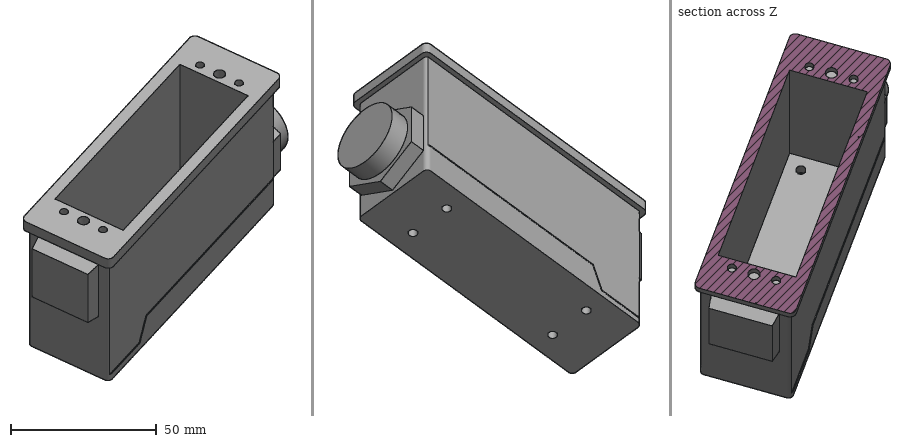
import cadquery as cq
import math

height = 61.0
lid_width = 36.5
lid_length = 107.7
lid_thickness = 4.5
lid_radius = 2.2

lid_overhang = 1.8
body_width = 33.5
body_length = lid_length - 2 * lid_overhang
body_height = height - lid_thickness
body_radius = 1.8
body_end = body_length / 2

side_setback = 0.4
band_low = 3.0
band_high = 12.5
ramp_start = -32.9
ramp_end = -28.6

cavity_width = 27.9
cavity_length = 78.2
floor_thickness = lid_thickness
floor_hole_diameter = 3.3
floor_hole_spacing_x = 16.3
floor_hole_spacing_y = 67.7

row_spacing_y = 85.2
side_hole_spacing = 16.0
side_hole_diameter = 3.0
middle_hole_diameter = 4.0
lid_hole_depth = lid_thickness

gland_height = 18.9
hex_across_flats = 30.0
hex_length = 5.9
collar_diameter = 26.3
collar_length = 7.5

block_width = 24.7
block_height = 25.0
block_center_height = 41.8
block_length = 5.3
block_draft = 10


def make_body():
    return (
        cq.Workplane("XY")
        .box(body_width, body_length, body_height, centered=(True, True, False))
        .edges("|Z")
        .fillet(body_radius)
    )


def make_lid():
    return (
        cq.Workplane("XY", origin=(0, 0, body_height))
        .box(lid_width, lid_length, lid_thickness, centered=(True, True, False))
        .edges("|Z")
        .fillet(lid_radius)
    )


def make_side_setback():
    """Material removed above the band on both long sides."""
    outline = [
        (-body_end, band_low),
        (ramp_start, band_low),
        (ramp_end, band_high),
        (body_end, band_high),
        (body_end, body_height),
        (-body_end, body_height),
    ]
    face_offset = body_width / 2 - side_setback
    plus_side = (
        cq.Workplane("YZ", origin=(face_offset, 0, 0))
        .polyline(outline)
        .close()
        .extrude(side_setback)
    )
    return plus_side.union(plus_side.mirror("YZ"))


def make_gland():
    """Hexagon with two flats facing +X and -X, then the collar."""
    across_corners = hex_across_flats / math.cos(math.pi / 6)
    body_face = cq.Plane(origin=(0, body_end, gland_height), xDir=(0, 0, 1), normal=(0, 1, 0))
    hexagon = cq.Workplane(body_face).polygon(6, across_corners).extrude(hex_length)
    collar = cq.Workplane(body_face).circle(collar_diameter / 2).extrude(hex_length + collar_length)
    return hexagon.union(collar)


def make_block():
    return (
        cq.Workplane("XZ", origin=(0, -body_end, block_center_height))
        .rect(block_width, block_height)
        .extrude(block_length, taper=block_draft)
    )


def make_cavity():
    return cq.Workplane("XY", origin=(0, 0, floor_thickness)).box(
        cavity_width, cavity_length, height - floor_thickness, centered=(True, True, False)
    )


def make_floor_holes():
    return (
        cq.Workplane("XY")
        .rarray(floor_hole_spacing_x, floor_hole_spacing_y, 2, 2)
        .circle(floor_hole_diameter / 2)
        .extrude(floor_thickness)
    )


def make_lid_holes():
    top = cq.Workplane("XY", origin=(0, 0, height))
    side_holes = (
        top.rarray(side_hole_spacing, row_spacing_y, 2, 2)
        .circle(side_hole_diameter / 2)
        .extrude(-lid_hole_depth)
    )
    middle_holes = (
        top.pushPoints([(0, -row_spacing_y / 2), (0, row_spacing_y / 2)])
        .circle(middle_hole_diameter / 2)
        .extrude(-lid_hole_depth)
    )
    return side_holes.union(middle_holes)


housing = make_body().cut(make_side_setback())
housing = housing.union(make_lid()).union(make_gland()).union(make_block())
result = housing.cut(make_cavity()).cut(make_floor_holes()).cut(make_lid_holes())